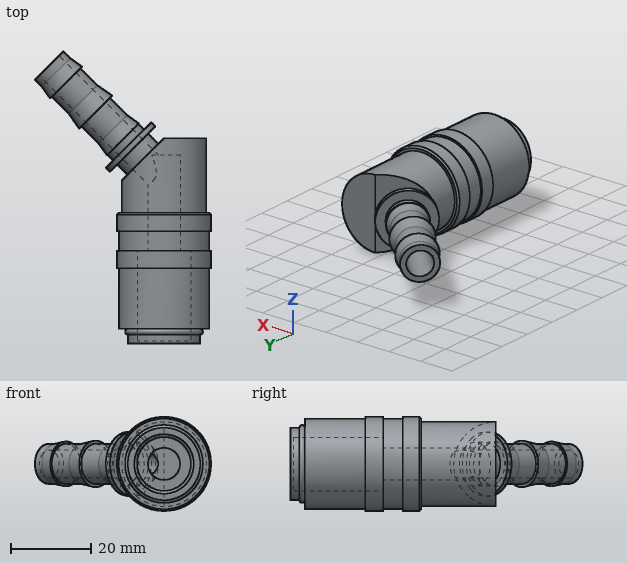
import cadquery as cq
import math


overall_length = 72.7

nose_radius = 9.0
barrel_radius = 11.3
collar_radius = 23.5 / 2
rear_radius = 10.55

ring_front = 2.25
barrel_front = 3.6
front_collar = 18.7
front_collar_end = 23.05
rear_collar = 28.0
rear_collar_end = 32.55
body_length = 51.1
collar_chamfer = 0.5

socket_radius = 6.7
socket_chamfer = 0.7
socket_depth = front_collar_end
passage_radius = 4.0
passage_end = 46.95

tail_angle = 45
tail_radius = 5.0
tail_bore_radius = 3.5
spigot_radius = 5.45
flange_radius = 8.0
flange_start = 3.55
flange_width = 1.45
root_overlap = 1.45

barbs = [
    (7.0, 10.6, 5.6),
    (16.6, 21.1, 5.8),
    (27.0, 30.6, 5.6),
]

face_centre = (-rear_radius / 2, body_length - rear_radius / 2)
tail_to_axis = (rear_radius / 2) / math.sin(math.radians(tail_angle))

tail_length = (overall_length - face_centre[1]) / math.cos(math.radians(tail_angle)) - tail_radius


def cylinder(radius, start, end):
    """Cylinder about the Y axis between two positions on that axis."""
    return cq.Workplane("XZ", origin=(0, start, 0)).circle(radius).extrude(start - end)


def revolved(profile):
    """Solid of revolution about the Y axis."""
    return profile.close().revolve(360, (0, 0, 0), (0, 1, 0))


def seal_ring():
    """Half-round ring on the nose, seated against the barrel."""
    ring_middle = (ring_front + barrel_front) / 2
    ring_height = (barrel_front - ring_front) / 2
    profile = (
        cq.Workplane("XY")
        .moveTo(0, ring_front)
        .lineTo(nose_radius, ring_front)
        .threePointArc((nose_radius + ring_height, ring_middle), (nose_radius, barrel_front))
        .lineTo(0, barrel_front)
    )
    return revolved(profile)


def body():
    """Stepped round body with its rear corner cut off at the angle of the hose tail."""
    rear_band = cylinder(collar_radius, rear_collar, rear_collar_end)
    rear_band = rear_band.faces(">Y").chamfer(collar_chamfer)
    solid = (
        cylinder(nose_radius, 0, ring_front)
        .union(seal_ring())
        .union(cylinder(barrel_radius, barrel_front, rear_collar))
        .union(cylinder(collar_radius, front_collar, front_collar_end))
        .union(rear_band)
        .union(cylinder(rear_radius, rear_collar_end, body_length))
    )
    corner_points = [
        (0, body_length),
        (-rear_radius, body_length),
        (-rear_radius, body_length - rear_radius),
    ]
    corner = cq.Workplane("XY").polyline(corner_points).close().extrude(rear_radius, both=True)
    return solid.cut(corner)


def barb(blunt_end, slope_end, crest_radius):
    """Ring that slopes down toward the free end of the hose tail."""
    profile = (
        cq.Workplane("XY")
        .moveTo(0, blunt_end)
        .lineTo(crest_radius, blunt_end)
        .lineTo(tail_radius, slope_end)
        .lineTo(0, slope_end)
    )
    return revolved(profile)


def placed_on_tail(solid):
    """Move a solid built along Y onto the axis of the hose tail."""
    turned = solid.rotate((0, 0, 0), (0, 0, 1), tail_angle)
    return turned.translate((face_centre[0], face_centre[1], 0))


def hose_tail():
    """Barbed tube with a flanged spigot at its root."""
    spigot_end = barbs[0][0]
    solid = (
        cylinder(tail_radius, spigot_end, tail_length)
        .union(cylinder(spigot_radius, -root_overlap, spigot_end))
        .union(cylinder(flange_radius, flange_start, flange_start + flange_width))
    )
    for blunt_end, slope_end, crest_radius in barbs:
        solid = solid.union(barb(blunt_end, slope_end, crest_radius))
    return placed_on_tail(solid)


def socket():
    """Wide blind bore at the mouth with a chamfered entry."""
    profile = (
        cq.Workplane("XY")
        .moveTo(0, 0)
        .lineTo(socket_radius + socket_chamfer, 0)
        .lineTo(socket_radius, socket_chamfer)
        .lineTo(socket_radius, socket_depth)
        .lineTo(0, socket_depth)
    )
    return revolved(profile)


passage = cylinder(passage_radius, socket_depth, passage_end)
tail_bore = placed_on_tail(cylinder(tail_bore_radius, -tail_to_axis, tail_length))

result = body().union(hose_tail()).cut(socket()).cut(passage).cut(tail_bore)